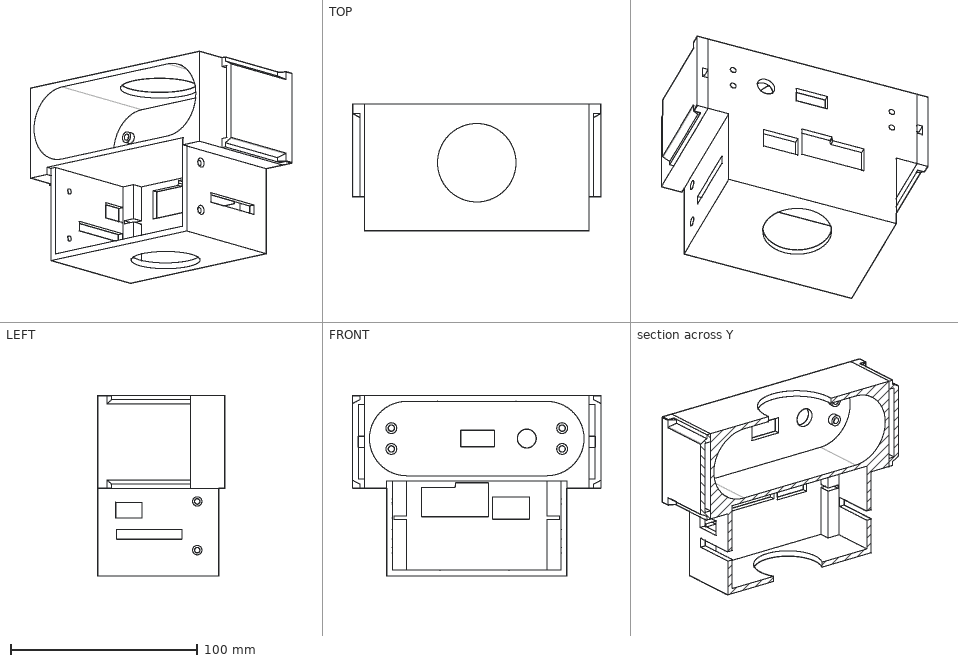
import cadquery as cq
import math


WALL = 3.2
DEPTH = 68.3
HEIGHT = 97.2

HOUSING_WIDTH = 120.8
HOUSING_HEIGHT = 50.0
CAVITY_WIDTH = 115.4
CAVITY_HEIGHT = 40.0
ROOF_HOLE_DIA = 42.2
ROOF_HOLE_FROM_BACK = 31.7

SWITCH_X = 0.45
SWITCH_WIDTH = 18.0
SWITCH_HEIGHT = 8.8
BUTTON_X = 26.9
BUTTON_DIA = 10.0

STANDOFF_DIA = 5.8
STANDOFF_BORE = 3.25
STANDOFF_LENGTH = 3.0
STANDOFF_PITCH_X = 91.8
STANDOFF_PITCH_Z = 11.2

TRAY_WIDTH = 97.0
REBATE_HEIGHT = 4.0
REBATE_DEPTH = WALL
FLOOR_HOLE_DIA = 37.0
FLOOR_HOLE_X = -1.2
FLOOR_HOLE_FROM_BACK = 25.5

PILLAR_WIDTH = 7.4
PILLAR_DEPTH = 2 * WALL
GROOVE_DEPTH = 6.6
GROOVE_HEIGHT = 1.8
GROOVE_Z = 31.4

WIDE_WINDOW_LEFT = -29.7
WIDE_WINDOW_STEP = -11.3
WIDE_WINDOW_RIGHT = 6.2
WIDE_WINDOW_BOTTOM = 32.0
WIDE_WINDOW_SHOULDER = 47.6
WIDE_WINDOW_TOP = 50.2
STEP_BEVEL_X = 0.5
STEP_BEVEL_Z = 1.2
SMALL_WINDOW_X = 18.4
SMALL_WINDOW_Z = 36.6
SMALL_WINDOW_WIDTH = 19.8
SMALL_WINDOW_HEIGHT = 11.8

SOCKET_FROM_BACK = 9.7
SOCKET_LENGTH = 14.0
SOCKET_Z = 35.5
SOCKET_HEIGHT = 8.4
SLOT_FROM_BACK = 10.1
SLOT_LENGTH = 35.2
SLOT_Z = 22.5
SLOT_HEIGHT = 5.2
SCREW_DIA = 2.8
SCREW_HEAD_DIA = 5.0
SCREW_HEAD_DEPTH = (SCREW_HEAD_DIA - SCREW_DIA) / 2
SCREW_FROM_BACK = 53.5
SCREW_HEIGHTS = (14.0, 40.2)

BRACKET_THICKNESS = 6.5
BRACKET_LENGTH = 50.0
POCKET_DEPTH = 3.2
POCKET_DIA = 40.0
CABLE_SLIT = 6.0
KEYWAY_DEPTH = 4.1
KEYWAY_OUTER_HEIGHT = 4.6
KEYWAY_INNER_HEIGHT = 2.3
KEYWAY_STOP = 5.1
KEYWAY_STOP_ANGLE = 30.0
KEYWAY_LEDGE = 0.3
EDGE_CHAMFER = 0.35

HOUSING_BOTTOM = HEIGHT - HOUSING_HEIGHT
CAVITY_Z = HEIGHT - WALL - CAVITY_HEIGHT / 2
CAVITY_BACK = DEPTH - WALL
TRAY_TOP = HOUSING_BOTTOM + REBATE_HEIGHT
TRAY_INNER_HALF = TRAY_WIDTH / 2 - WALL
ROOF_HOLE_Y = DEPTH - ROOF_HOLE_FROM_BACK
FLOOR_HOLE_Y = DEPTH - FLOOR_HOLE_FROM_BACK
PILLAR_INNER_X = TRAY_INNER_HALF - PILLAR_WIDTH
SCREW_Y = DEPTH - SCREW_FROM_BACK
STANDOFF_POINTS = [
    (x_side * STANDOFF_PITCH_X / 2, CAVITY_Z + z_side * STANDOFF_PITCH_Z / 2)
    for x_side in (-1, 1)
    for z_side in (-1, 1)
]
SIDES = (-1, 1)


def block(x_range, y_range, z_range):
    """Box filling the given (low, high) ranges along X, Y and Z."""
    x_low, x_high = x_range
    y_low, y_high = y_range
    z_low, z_high = z_range
    corner = cq.Vector(x_low, y_low, z_low)
    solid = cq.Solid.makeBox(x_high - x_low, y_high - y_low, z_high - z_low, corner)
    return cq.Workplane(obj=solid)


def centred(middle, length):
    """(low, high) range of a length about its middle."""
    return (middle - length / 2, middle + length / 2)


def facing_back(y):
    """XZ workplane at depth y whose extrusions run toward +Y, with local (x, y) = (X, -Z)."""
    return cq.Workplane(cq.Plane(origin=(0, y, 0), xDir=(1, 0, 0), normal=(0, 1, 0)))


def cylinder_y(x, z, diameter, y_start, y_end):
    """Cylinder along Y."""
    return facing_back(y_start).center(x, -z).circle(diameter / 2).extrude(y_end - y_start)


def housing_shell():
    shell = block(centred(0, HOUSING_WIDTH), (0, DEPTH), (HOUSING_BOTTOM, HEIGHT))
    cavity = facing_back(0).center(0, -CAVITY_Z).slot2D(CAVITY_WIDTH, CAVITY_HEIGHT).extrude(CAVITY_BACK)
    rebate = block(centred(0, TRAY_WIDTH), (0, DEPTH), (HOUSING_BOTTOM, TRAY_TOP))
    roof_hole = (
        cq.Workplane("XY", origin=(0, ROOF_HOLE_Y, CAVITY_Z))
        .circle(ROOF_HOLE_DIA / 2)
        .extrude(HEIGHT - CAVITY_Z)
    )
    return shell.cut(cavity).cut(rebate).cut(roof_hole)


def cut_housing_back(body):
    switch = block(
        centred(SWITCH_X, SWITCH_WIDTH), (CAVITY_BACK, DEPTH), centred(CAVITY_Z, SWITCH_HEIGHT)
    )
    body = body.cut(switch).cut(cylinder_y(BUTTON_X, CAVITY_Z, BUTTON_DIA, CAVITY_BACK, DEPTH))
    for x, z in STANDOFF_POINTS:
        body = body.cut(cylinder_y(x, z, STANDOFF_BORE, CAVITY_BACK, DEPTH))
    return body


def tray_shell():
    shell = block(centred(0, TRAY_WIDTH), (REBATE_DEPTH, DEPTH), (0, TRAY_TOP))
    inside = block(centred(0, 2 * TRAY_INNER_HALF), (REBATE_DEPTH, CAVITY_BACK), (WALL, TRAY_TOP))
    floor_hole = (
        cq.Workplane("XY", origin=(FLOOR_HOLE_X, FLOOR_HOLE_Y, 0))
        .circle(FLOOR_HOLE_DIA / 2)
        .extrude(WALL)
    )
    shell = shell.cut(inside).cut(floor_hole)
    for side in SIDES:
        shell = shell.union(grooved_pillar(side))
    return shell


def grooved_pillar(side):
    """Corner pillar with a groove for the edge of a circuit board."""
    y_range = (CAVITY_BACK - PILLAR_DEPTH, CAVITY_BACK)
    inner_x = side * PILLAR_INNER_X
    outer_x = side * TRAY_INNER_HALF
    groove_x = inner_x + side * GROOVE_DEPTH
    pillar = block(sorted((inner_x, outer_x)), y_range, (WALL, TRAY_TOP))
    groove = block(sorted((inner_x, groove_x)), y_range, centred(GROOVE_Z, GROOVE_HEIGHT))
    return pillar.cut(groove)


def cut_tray_back(body):
    wide_window_outline = [
        (WIDE_WINDOW_LEFT, WIDE_WINDOW_BOTTOM),
        (WIDE_WINDOW_RIGHT, WIDE_WINDOW_BOTTOM),
        (WIDE_WINDOW_RIGHT, WIDE_WINDOW_TOP),
        (WIDE_WINDOW_STEP, WIDE_WINDOW_TOP),
        (WIDE_WINDOW_STEP, WIDE_WINDOW_SHOULDER + STEP_BEVEL_Z),
        (WIDE_WINDOW_STEP - STEP_BEVEL_X, WIDE_WINDOW_SHOULDER),
        (WIDE_WINDOW_LEFT, WIDE_WINDOW_SHOULDER),
    ]
    wide_window = (
        facing_back(CAVITY_BACK).polyline([(x, -z) for x, z in wide_window_outline]).close().extrude(WALL)
    )
    small_window = block(
        centred(SMALL_WINDOW_X, SMALL_WINDOW_WIDTH),
        (CAVITY_BACK, DEPTH),
        centred(SMALL_WINDOW_Z, SMALL_WINDOW_HEIGHT),
    )
    return body.cut(wide_window).cut(small_window)


def cut_tray_sides(body):
    socket_back = DEPTH - SOCKET_FROM_BACK
    socket = block(
        (-TRAY_WIDTH / 2, -TRAY_INNER_HALF),
        (socket_back - SOCKET_LENGTH, socket_back),
        centred(SOCKET_Z, SOCKET_HEIGHT),
    )
    slot_back = DEPTH - SLOT_FROM_BACK
    slots = block(
        centred(0, TRAY_WIDTH), (slot_back - SLOT_LENGTH, slot_back), centred(SLOT_Z, SLOT_HEIGHT)
    )
    body = body.cut(socket).cut(slots)
    for side in SIDES:
        for z in SCREW_HEIGHTS:
            body = body.cut(countersunk_hole(side, z))
    return body


def countersunk_hole(side, z):
    """Screw hole through one side wall, countersunk from the outside."""
    entry = cq.Vector(side * TRAY_WIDTH / 2, SCREW_Y, z)
    inward = cq.Vector(-side, 0, 0)
    hole = cq.Solid.makeCylinder(SCREW_DIA / 2, WALL, entry, inward)
    head = cq.Solid.makeCone(SCREW_HEAD_DIA / 2, SCREW_DIA / 2, SCREW_HEAD_DEPTH, entry, inward)
    return cq.Workplane(obj=hole.fuse(head))


def make_standoff(x, z):
    front = CAVITY_BACK - STANDOFF_LENGTH
    post = cylinder_y(x, z, STANDOFF_DIA, front, CAVITY_BACK)
    return post.cut(cylinder_y(x, z, STANDOFF_BORE, front, CAVITY_BACK))


def make_left_bracket():
    """Bracket on the -X side: chamfered plate with a round pocket against the housing and two keyways."""
    inner_x = -HOUSING_WIDTH / 2
    outer_x = inner_x - BRACKET_THICKNESS
    front = DEPTH - BRACKET_LENGTH
    middle_y = DEPTH - BRACKET_LENGTH / 2
    middle_z = HEIGHT - HOUSING_HEIGHT / 2
    pocket_x = (inner_x - POCKET_DEPTH, inner_x)

    plate = block((outer_x, inner_x), (front, DEPTH), (HOUSING_BOTTOM, HEIGHT))
    plate = plate.faces("<X").edges("|Y").chamfer(EDGE_CHAMFER)

    entrance = block(pocket_x, (front, middle_y), centred(middle_z, POCKET_DIA))
    round_end = (
        cq.Workplane("YZ", origin=(pocket_x[0], middle_y, middle_z))
        .circle(POCKET_DIA / 2)
        .extrude(POCKET_DEPTH)
    )
    slit = block(pocket_x, (middle_y, DEPTH), centred(middle_z, CABLE_SLIT))
    upper_keyway = make_upper_keyway(outer_x, front)
    lower_keyway = upper_keyway.mirror("XY", (0, 0, middle_z))
    return plate.cut(entrance).cut(round_end).cut(slit).cut(upper_keyway).cut(lower_keyway)


def make_upper_keyway(outer_x, front):
    """Tapered groove along the top outer edge, with a slanted, ledged stop at its back end."""
    bottom_x = outer_x + KEYWAY_DEPTH
    section = [
        (outer_x, HEIGHT),
        (outer_x, HEIGHT - KEYWAY_OUTER_HEIGHT),
        (outer_x + EDGE_CHAMFER, HEIGHT - KEYWAY_OUTER_HEIGHT + EDGE_CHAMFER),
        (bottom_x, HEIGHT - KEYWAY_INNER_HEIGHT),
        (bottom_x, HEIGHT),
    ]
    groove = facing_back(front).polyline([(x, -z) for x, z in section]).close().extrude(BRACKET_LENGTH)

    stop_y = DEPTH - KEYWAY_STOP
    stop_slant = KEYWAY_DEPTH * math.tan(math.radians(KEYWAY_STOP_ANGLE))
    plan = [
        (outer_x, front),
        (outer_x, stop_y),
        (bottom_x, stop_y - stop_slant),
        (bottom_x, front),
    ]
    reach = (
        cq.Workplane("XY", origin=(0, 0, HEIGHT - KEYWAY_OUTER_HEIGHT))
        .polyline(plan)
        .close()
        .extrude(KEYWAY_OUTER_HEIGHT)
    )
    ledge = block((outer_x, bottom_x), (front, stop_y), (HEIGHT - KEYWAY_LEDGE, HEIGHT))
    return groove.intersect(reach).union(ledge)


enclosure = cut_housing_back(housing_shell()).union(tray_shell())
enclosure = cut_tray_sides(cut_tray_back(enclosure))
standoffs = [make_standoff(x, z) for x, z in STANDOFF_POINTS]
left_bracket = make_left_bracket()
right_bracket = left_bracket.mirror("YZ")

result = cq.Compound.makeCompound([
    *enclosure.solids().vals(),
    *left_bracket.solids().vals(),
    *right_bracket.solids().vals(),
    *[standoff.solids().val() for standoff in standoffs],
])